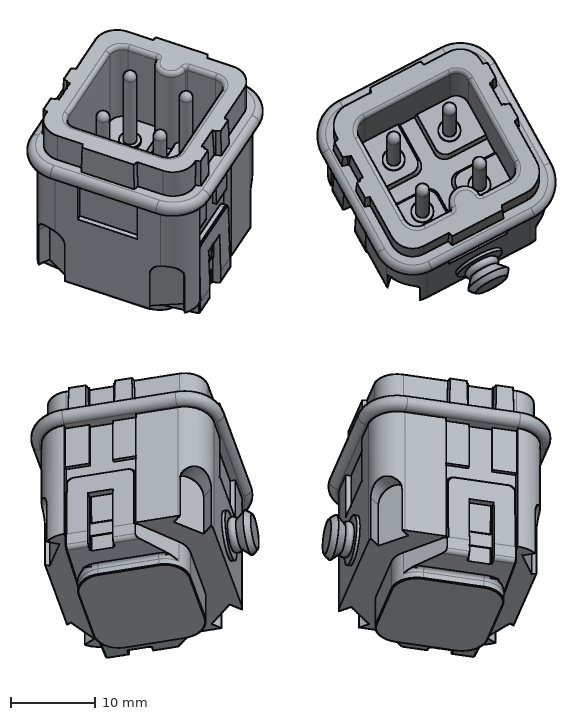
import cadquery as cq
import math

top_z = 27.0
body_bottom_z = 4.0
seal_z = 22.03
recess_top_z = 14.98
floor_z = 15.34

body_half = 10.48
collar_half = 9.75
corner_centre = 6.9
body_corner_radius = body_half - corner_centre
collar_corner_radius = collar_half - corner_centre
seal_radius = 0.97
seal_half = 11.705 - seal_radius
seal_corner_radius = seal_half - corner_centre

cavity_half = 7.35
cavity_corner_radius = 1.62
rim_fillet = 0.57
key_radius = 1.9
key_y = 7.18
key_blend_radius = 0.22
groove_depth = 0.8
groove_half = 0.97
groove_edge_run = 0.3
block_corner_radius = 1.45

pin_radius = 0.8
pin_top_z = 26.86
pin_pitch_half = 3.75
ground_pin_y = 3.78
first_pin_y = 3.45
pin_seat_radius = 1.32
pin_seat_height = 0.27

tab_half = 10.42
tab_narrowing = 0.2
tab_draft_angle = 1.4
end_tab_half_width = 3.67
end_window_half_width = 3.92
end_window_half = 9.83
side_y = -2.56
side_tab_half_width = 4.13
side_channel_half_width = 1.5
side_pad_gap_half_width = 1.43
side_recess_half_width = 4.37
side_recess_half = 9.45
side_pad_half = 9.88
channel_top_half = 9.35
channel_bottom_half = 9.6

latch_half = 10.42
latch_top_half = 10.23
latch_top_z = 12.95
latch_half_width = 4.25
latch_corner_radius = 1.0
latch_edge_chamfer = 0.15
latch_slot_top_z = 10.0
ramp_bottom_z = 6.0
ramp_bottom_half = 9.23
latch_slot_half = 9.5
latch_slot_lower_half = 9.37
latch_slot_foot_half = 9.23
ramp_half_width = 1.32

foot_half = 6.83
foot_corner_radius = 3.13
foot_edge_chamfer = 0.1
wing_back_y = 1.7
wing_edge_chamfer = 0.14
wing_tip_z = 1.9
wing_slope = 0.124
wing_tip_fillet = 0.55
foot_blend_radius = 0.49

scoop_top_z = 11.93
front_scoop_angle = 30.0
front_scoop_offset = -1.62
front_scoop_floor = 11.25
front_scoop_width = 4.05
back_scoop_angle = 45.0
back_scoop_offset = -0.25
back_scoop_floor = 11.1
back_scoop_width = 4.1

screw_z = 8.96
plate_radius = 3.02
plate_y = 10.88
bead_radius = 2.2
neck_y = 11.9
neck_radius = 1.8
head_rim_y = 13.01
head_radius = 2.73
head_end_y = 13.784
head_end_radius = 2.1
cheek_bulge = 0.08


def block(x0, x1, y0, y1, z0, z1):
    """Axis-aligned box between two opposite corners."""
    return cq.Workplane("XY").box(x1 - x0, y1 - y0, z1 - z0, centered=False).translate((x0, y0, z0))


def rounded_prism(half, radius, z0, z1):
    """Square prism on the centre axis with rounded vertical edges."""
    return block(-half, half, -half, half, z0, z1).edges("|Z").fillet(radius)


def square_tube(half, corner_radius, z, tube_radius):
    """Solid round bar bent around a rounded square at height `z`."""
    path = rounded_prism(half, corner_radius, z, z + 0.27).faces("<Z").wires().val()
    section = cq.Workplane("XZ", origin=(half, 0, z)).circle(tube_radius)
    return section.sweep(cq.Workplane(path))


def both_sides(shape):
    """The shape together with its mirror image across the YZ plane."""
    return shape.union(shape.mirror("YZ"))


def both_ends(shape):
    """The shape together with its mirror image across the XZ plane."""
    return shape.union(shape.mirror("XZ"))


def collar_tab(half_width):
    """Upright tab on the -Y side of the collar, narrower at its outer face and drafted towards the top."""
    outer_half_width = half_width - tab_narrowing
    outline = [
        (-half_width, -cavity_half - rim_fillet), (-half_width, -collar_half), (-outer_half_width, -tab_half),
        (outer_half_width, -tab_half), (half_width, -collar_half), (half_width, -cavity_half - rim_fillet),
    ]
    section = cq.Workplane("XY").workplane(offset=seal_z).polyline(outline).close()
    return section.extrude(top_z - seal_z, taper=tab_draft_angle)


def shell():
    """Body, collar and tabs, with the recessed end windows and side panels."""
    body = rounded_prism(body_half, body_corner_radius, body_bottom_z, seal_z)
    window = block(
        -end_window_half_width, end_window_half_width, -body_half, -end_window_half, recess_top_z, seal_z
    )
    recess = block(
        -body_half, -side_recess_half,
        side_y - side_recess_half_width, side_y + side_recess_half_width, body_bottom_z, seal_z
    )
    pad = block(
        -side_pad_half, -side_recess_half,
        side_y - side_recess_half_width, side_y + side_recess_half_width, recess_top_z, seal_z
    )
    pad_gap = block(
        -body_half, -side_recess_half,
        side_y - side_pad_gap_half_width, side_y + side_pad_gap_half_width, recess_top_z, seal_z
    )
    channel = (
        cq.Workplane("XZ", origin=(0, side_y, 0))
        .polyline([
            (-collar_half, seal_z), (-channel_bottom_half, seal_z),
            (-channel_top_half, top_z), (-collar_half, top_z),
        ])
        .close().extrude(side_channel_half_width, both=True)
    )
    shape = body.cut(both_ends(window)).cut(both_sides(recess)).union(both_sides(pad))
    shape = shape.union(rounded_prism(collar_half, collar_corner_radius, seal_z, top_z))
    shape = shape.cut(both_sides(pad_gap.union(channel))).union(both_ends(collar_tab(end_tab_half_width)))
    tab_half_width = (side_tab_half_width - side_channel_half_width) / 2
    side_tab = collar_tab(tab_half_width).rotate((0, 0, 0), (0, 0, 1), -90)
    for side in (-1, 1):
        tab_y = side_y + side * (side_channel_half_width + tab_half_width)
        shape = shape.union(both_sides(side_tab.translate((0, tab_y, 0))))
    return shape


def seal():
    """Flat seal around the body with a half-round outer edge."""
    flat = rounded_prism(seal_half, seal_corner_radius, seal_z - seal_radius, seal_z + seal_radius)
    return flat.union(square_tube(seal_half, seal_corner_radius, seal_z, seal_radius))


def cavity():
    """Space inside the collar, leaving the key standing with blended sides."""
    space = rounded_prism(cavity_half, cavity_corner_radius, floor_z, top_z)
    key = cq.Workplane("XY").circle(key_radius).extrude(top_z).translate((0, key_y, 0))
    space = space.cut(key)
    key_sides = cq.selectors.BoxSelector(
        (-key_radius - 0.03, key_y, floor_z), (key_radius + 0.03, body_half, top_z)
    )
    return space.edges("|Z").edges(key_sides).fillet(key_blend_radius)


def floor_grooves():
    """Cross-shaped groove with sloped sides between four contact blocks."""
    bottom_z = floor_z - groove_depth
    space = rounded_prism(cavity_half, cavity_corner_radius, bottom_z, floor_z)
    taper = math.degrees(math.atan(groove_edge_run / groove_depth))
    span = 2 * cavity_half
    contact_block = (
        cq.Workplane("XY").rect(span, span)
        .extrude(groove_depth, taper=taper)
        .edges("not #Z").edges("not |X").edges("not |Y").fillet(block_corner_radius)
    )
    offset = groove_half + cavity_half
    for x in (-offset, offset):
        for y in (-offset, offset):
            space = space.cut(contact_block.translate((x, y, bottom_z)))
    key = cq.Workplane("XY").circle(key_radius).extrude(top_z).translate((0, key_y, 0))
    return space.cut(key)


def pin(x, y):
    """Contact pin with a domed end, standing on a low round seat."""
    base_z = floor_z - groove_depth
    seat = cq.Workplane("XY").circle(pin_seat_radius).extrude(groove_depth + pin_seat_height)
    post = cq.Workplane("XY").circle(pin_radius).extrude(pin_top_z - pin_radius - base_z)
    dome = cq.Workplane("XY").sphere(pin_radius).translate((0, 0, pin_top_z - pin_radius - base_z))
    return seat.union(post).union(dome).translate((x, y, base_z))


def scoop(angle, offset, floor_distance, width):
    """Arched cutter for the corner between the -X and -Y faces, turned by `angle` from the -Y face."""
    radius = width / 2
    length = body_half
    arch_z = scoop_top_z - radius
    cutter = (
        cq.Workplane("XZ", origin=(0, -floor_distance, 0))
        .moveTo(-radius, 0)
        .lineTo(-radius, arch_z)
        .threePointArc((0, scoop_top_z), (radius, arch_z))
        .lineTo(radius, 0)
        .close()
        .extrude(length)
    )
    return cutter.translate((offset, 0, 0)).rotate((0, 0, 0), (0, 0, 1), -angle)


def latch_plate():
    """Slightly sloped plate on the -X side with rounded upper corners."""
    width = 2 * latch_half_width
    plate = (
        block(-latch_half, -side_recess_half, -latch_half_width, latch_half_width, body_bottom_z, latch_top_z)
        .edges("|X and >Z").fillet(latch_corner_radius)
    )
    slope_cut = (
        cq.Workplane("XZ", origin=(0, latch_half_width, 0))
        .polyline([
            (-latch_half, body_bottom_z), (-latch_top_half, latch_top_z), (-latch_half, latch_top_z)
        ])
        .close().extrude(width)
    )
    plate = plate.cut(slope_cut).faces("<X").edges("not <Z").chamfer(latch_edge_chamfer)
    return plate.translate((0, side_y, 0))


def latch_slot():
    """Slot down the latch plate and the ramped pocket at its upper end."""
    slot = block(
        -body_half, -latch_slot_half, -side_channel_half_width, side_channel_half_width, 0, latch_slot_top_z
    )
    lower_slot = block(
        -body_half, -latch_slot_lower_half,
        -side_channel_half_width, side_channel_half_width, 0, ramp_bottom_z
    )
    relief = block(
        -body_half, -latch_slot_foot_half, -ramp_half_width, ramp_half_width, 0, body_bottom_z
    )
    ramp = (
        cq.Workplane("XZ")
        .polyline([
            (-latch_slot_half, latch_slot_top_z), (-latch_slot_half, ramp_bottom_z),
            (-ramp_bottom_half, ramp_bottom_z),
        ])
        .close().extrude(ramp_half_width, both=True)
    )
    return slot.union(lower_slot).union(relief).union(ramp).translate((0, side_y, 0))


def foot():
    """Rounded square foot with side wings whose undersides slope down to it."""
    base = rounded_prism(foot_half, foot_corner_radius, 0, body_bottom_z)
    tangent = foot_half - foot_corner_radius * (1 - math.sqrt(0.5))
    outline = [
        (-latch_half, -foot_half), (latch_half, -foot_half), (latch_half, wing_back_y),
        (tangent, tangent), (-tangent, tangent), (-latch_half, wing_back_y),
    ]
    footprint = cq.Workplane("XY").polyline(outline).close().extrude(body_bottom_z)
    centre_z = wing_tip_z - wing_slope * latch_half
    profile = [
        (-latch_half, body_bottom_z), (-latch_half, wing_tip_z), (0, centre_z),
        (latch_half, wing_tip_z), (latch_half, body_bottom_z),
    ]
    wedge = cq.Workplane("XZ").polyline(profile).close().extrude(body_half, both=True)
    wedge = wedge.edges("|Y").edges("<X or >X").edges("<Z").fillet(wing_tip_fillet)
    wings = footprint.intersect(wedge)
    wings = wings.faces("<Y").edges("not >Z").chamfer(wing_edge_chamfer)
    base = base.faces("<Z").edges().chamfer(foot_edge_chamfer)

    blend_top_z = centre_z + wing_slope * foot_half
    blend_bottom_z = blend_top_z - foot_blend_radius
    blend_half = foot_half + foot_blend_radius
    blend_corner_radius = foot_corner_radius + foot_blend_radius
    blend = rounded_prism(blend_half, blend_corner_radius, blend_bottom_z, blend_top_z)
    blend = blend.cut(square_tube(blend_half, blend_corner_radius, blend_bottom_z, foot_blend_radius))
    return base.union(wings).union(blend.intersect(footprint))


def screw():
    """Round plate, bead and conical head turned about a Y axis."""
    bead_y = (plate_y + neck_y) / 2
    cheek_y = (head_rim_y + head_end_y) / 2
    cheek_radius = (head_radius + head_end_radius) / 2 + cheek_bulge
    return (
        cq.Workplane("XY")
        .moveTo(0, end_window_half).lineTo(plate_radius, end_window_half).lineTo(plate_radius, plate_y)
        .lineTo(neck_radius, plate_y)
        .threePointArc((bead_radius, bead_y), (neck_radius, neck_y))
        .lineTo(head_radius, head_rim_y)
        .threePointArc((cheek_radius, cheek_y), (head_end_radius, head_end_y))
        .lineTo(0, head_end_y).close()
        .revolve(360, (0, 0, 0), (0, 1, 0))
        .translate((0, 0, screw_z))
    )


result = shell().union(seal()).cut(cavity())
rim = cq.selectors.BoxSelector(
    (-cavity_half - 0.27, -cavity_half - 0.27, top_z - 0.27), (cavity_half + 0.27, cavity_half + 0.27, top_z + 0.27)
)
result = result.edges(rim).fillet(rim_fillet)
result = result.cut(floor_grooves())
for x, y in (
    (-pin_pitch_half, ground_pin_y), (pin_pitch_half, first_pin_y),
    (-pin_pitch_half, -pin_pitch_half), (pin_pitch_half, -pin_pitch_half),
):
    result = result.union(pin(x, y))
front_scoop = scoop(front_scoop_angle, front_scoop_offset, front_scoop_floor, front_scoop_width)
back_scoop = scoop(back_scoop_angle, back_scoop_offset, back_scoop_floor, back_scoop_width).mirror("XZ")
result = result.cut(both_sides(front_scoop)).cut(both_sides(back_scoop))
result = result.union(both_sides(latch_plate())).union(foot()).cut(both_sides(latch_slot()))
result = result.union(screw())